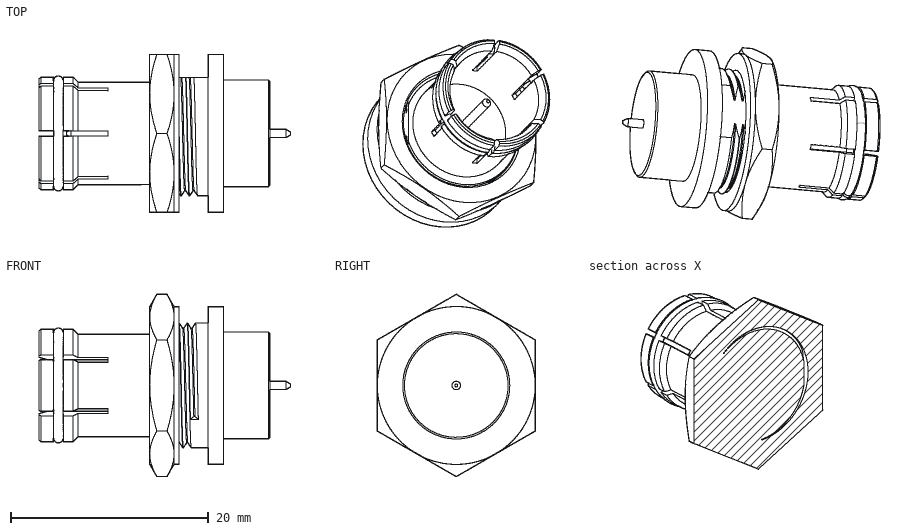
import cadquery as cq
import math


overall_length = 25.5
cone_start = 3.47
slot_end = 7.0
nut_front = 11.2
hex_rear = 13.7
nut_rear = 14.2
flange_front = 17.15
flange_rear = 18.7
body_rear = 23.4

sleeve_radius = 5.2
head_radius = 5.71
bore_radius = 4.75
bore_mouth_radius = 5.25
bore_mouth_depth = 0.87
head_chamfer = 0.2
slot_width = 0.52
slot_count = 6

ring_x = 1.98
ring_center_radius = 5.35
ring_section_radius = 0.48
ring_groove_clearance = 0.02
ring_groove_width = 2 * (ring_section_radius + ring_groove_clearance)
ring_groove_floor_radius = ring_center_radius
ring_gap = slot_width

thread_radius = 6.33
thread_chamfer = 0.3
flat_offset = 5.67
thread_pitch = 0.85
thread_groove_width = 0.80
thread_groove_depth = 0.52
thread_root_width = 0.12
thread_groove_end = 15.75
thread_turns = 6
thread_end_angle = -57.3
groove_overcut = 0.04

nut_across_flats = 16.0
nut_corner_radius = nut_across_flats / 2 / math.cos(math.pi / 6)
nut_face_radius = 7.95
nut_washer_radius = nut_across_flats / 2
nut_bevel_angle = math.radians(30)
nut_bore_radius = 6.13
nut_bore_chamfer = thread_radius - nut_bore_radius

flange_radius = 8.0
rear_radius = 5.42
rear_chamfer = 0.17

pin_front = 2.8
pin_radius = 0.43
pin_tip_radius = 0.15
pin_tip_length = 0.48


def revolve_about_x(points):
    """Solid of revolution about X from a closed outline of (x, radius) points."""
    return cq.Workplane("XY").polyline(points).close().revolve(360, (0, 0, 0), (1, 0, 0))


def make_cylinder(x_start, x_end, radius):
    return cq.Workplane("YZ", origin=(x_start, 0, 0)).circle(radius).extrude(x_end - x_start)


def make_sleeve():
    """Slotted tube whose bore ends at the front face of the solid threaded body."""
    cone_end = cone_start + head_radius - sleeve_radius
    sleeve = revolve_about_x([
        (0, bore_mouth_radius),
        (0, head_radius - head_chamfer),
        (head_chamfer, head_radius),
        (cone_start, head_radius),
        (cone_end, sleeve_radius),
        (nut_front, sleeve_radius),
        (nut_front, bore_radius),
        (bore_mouth_depth, bore_radius),
    ])
    ring_groove = (
        cq.Workplane("YZ", origin=(ring_x - ring_groove_width / 2, 0, 0))
        .circle(head_radius + head_chamfer)
        .circle(ring_groove_floor_radius)
        .extrude(ring_groove_width)
    )
    sleeve = sleeve.cut(ring_groove)
    for index in range(slot_count // 2):
        slot_pair = (
            cq.Workplane("XY")
            .box(slot_end, slot_width, 3 * head_radius, centered=(False, True, True))
            .rotate((0, 0, 0), (1, 0, 0), index * 360 / slot_count)
        )
        sleeve = sleeve.cut(slot_pair)
    return sleeve


def make_snap_ring():
    """Round-section ring that spans every slot except the one at -Z."""
    ring = (
        cq.Workplane("XY")
        .center(ring_x, ring_center_radius)
        .circle(ring_section_radius)
        .revolve(360, (0, -ring_center_radius, 0), (1, -ring_center_radius, 0))
    )
    gap_cut = (
        cq.Workplane("XY", origin=(ring_x, 0, -ring_center_radius))
        .box(ring_groove_width, ring_gap, 3 * ring_section_radius)
    )
    return ring.cut(gap_cut)


def make_thread_groove():
    """Right-handed V groove swept along Z, then laid onto the X axis."""
    sweep_length = thread_turns * thread_pitch
    start_angle = thread_end_angle - 360 * thread_turns
    helix = cq.Wire.makeHelix(thread_pitch, sweep_length, thread_radius)
    outer_radius = thread_radius + groove_overcut
    half_root = thread_root_width / 2
    flank_slope = (thread_groove_width - thread_root_width) / 2 / thread_groove_depth
    half_mouth = half_root + flank_slope * (thread_groove_depth + groove_overcut)
    root_radius = thread_radius - thread_groove_depth
    groove = (
        cq.Workplane("XZ")
        .polyline([
            (root_radius, half_root),
            (outer_radius, half_mouth),
            (outer_radius, -half_mouth),
            (root_radius, -half_root),
        ])
        .close()
        .sweep(cq.Workplane(helix), isFrenet=True)
    )
    return (
        groove
        .rotate((0, 0, 0), (0, 1, 0), 90)
        .rotate((0, 0, 0), (1, 0, 0), start_angle)
        .translate((thread_groove_end - sweep_length, 0, 0))
    )


def make_threaded_body():
    body_length = flange_front - nut_front
    body = make_cylinder(nut_front, flange_front, thread_radius).faces("<X").chamfer(thread_chamfer)
    flat_cut = (
        cq.Workplane("XY", origin=(nut_front, flat_offset, 0))
        .box(body_length, thread_radius, 2 * thread_radius, centered=(False, False, True))
    )
    return body.cut(flat_cut).cut(make_thread_groove())


def make_nut():
    bevel_depth_front = (nut_corner_radius - nut_face_radius) * math.tan(nut_bevel_angle)
    bevel_depth_rear = (nut_corner_radius - nut_washer_radius) * math.tan(nut_bevel_angle)
    hexagon = (
        cq.Workplane("YZ", origin=(nut_front, 0, 0))
        .polygon(6, 2 * nut_corner_radius)
        .extrude(hex_rear - nut_front)
        .rotate((0, 0, 0), (1, 0, 0), 90)
    )
    bevel_envelope = revolve_about_x([
        (nut_front, 0),
        (nut_front, nut_face_radius),
        (nut_front + bevel_depth_front, nut_corner_radius),
        (hex_rear - bevel_depth_rear, nut_corner_radius),
        (hex_rear, nut_washer_radius),
        (hex_rear, 0),
    ])
    washer = make_cylinder(hex_rear, nut_rear, nut_washer_radius)
    bore = revolve_about_x([
        (nut_front, 0),
        (nut_front, nut_bore_radius + nut_bore_chamfer),
        (nut_front + nut_bore_chamfer, nut_bore_radius),
        (nut_rear, nut_bore_radius),
        (nut_rear, 0),
    ])
    return hexagon.intersect(bevel_envelope).union(washer).cut(bore)


def make_rear_body():
    flange = make_cylinder(flange_front, flange_rear, flange_radius)
    barrel = make_cylinder(flange_rear, body_rear, rear_radius).faces(">X").chamfer(rear_chamfer)
    return flange.union(barrel)


def make_pin():
    return revolve_about_x([
        (pin_front, 0),
        (pin_front, pin_tip_radius),
        (pin_front + pin_tip_length, pin_radius),
        (overall_length - pin_tip_length, pin_radius),
        (overall_length, pin_tip_radius),
        (overall_length, 0),
    ])


result = (
    make_threaded_body()
    .union(make_nut())
    .union(make_rear_body())
    .union(make_sleeve())
    .union(make_snap_ring())
    .union(make_pin())
)